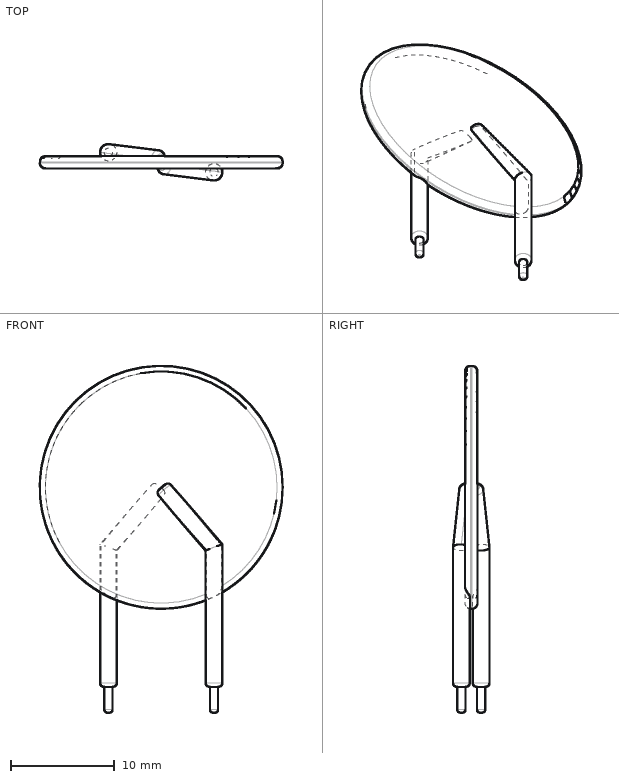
import cadquery as cq

disc_diameter = 23.4
disc_thickness = 1.2
disc_edge_radius = 0.55

overall_height = 33.4
overall_depth = 3.52
lead_pitch = 10.16
coat_diameter = 1.62
coat_end_radius = 0.35
coat_bottom_z = -19.2
bend_z = -5.8

arm_end_x = 0.1
arm_end_y = -0.33
arm_end_z = 0.0

wire_diameter = 0.81
wire_end_radius = 0.3

lead_x = lead_pitch / 2
lead_y = -(overall_depth - coat_diameter) / 2
wire_bottom_z = disc_diameter / 2 - overall_height


def make_disc():
    disc = cq.Workplane("XZ").circle(disc_diameter / 2).extrude(disc_thickness / 2, both=True)
    return disc.edges().fillet(disc_edge_radius)


def make_coat():
    """Straight leg and slanted arm, mitred at the bend and rounded at both ends."""
    path = cq.Workplane("XY").polyline([
        (lead_x, lead_y, coat_bottom_z),
        (lead_x, lead_y, bend_z),
        (arm_end_x, arm_end_y, arm_end_z),
    ])
    leg_start = cq.Workplane("XY", origin=(lead_x, lead_y, coat_bottom_z))
    coat = leg_start.circle(coat_diameter / 2).sweep(path, transition="right")
    return coat.faces("<Z or >Z").edges("%CIRCLE").fillet(coat_end_radius)


def make_wire():
    """Bare tip, starting at the bend inside the coating."""
    wire = (
        cq.Workplane("XY", origin=(lead_x, lead_y, wire_bottom_z))
        .circle(wire_diameter / 2)
        .extrude(bend_z - wire_bottom_z)
    )
    return wire.faces("<Z").edges().fillet(wire_end_radius)


front_lead = make_coat().union(make_wire())
back_lead = front_lead.rotate((0, 0, 0), (0, 0, 1), 180)

result = make_disc().union(front_lead).union(back_lead)